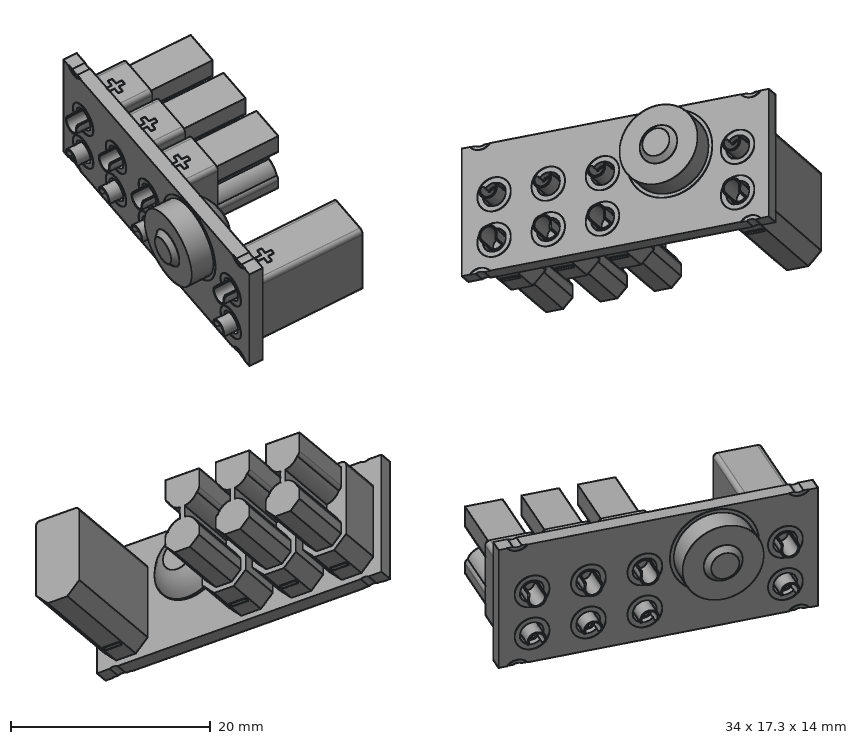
import cadquery as cq
import math


board_length = 34
board_height = 14.0
board_thickness = 1.6
mask_thickness = 0.07
pin_hole_diameter = 2.55
pin_pad_diameter = 3.7
nut_pad_diameter = 9.5
notch_x = 15.0
notch_radius = 1.0
notch_depth = 0.12
notch_pad_radius = 1.4
board_front = -board_thickness
pad_face = board_front + mask_thickness

first_connector_x = -13.43
row_span = 12.0
row_count = 3
row_pitch = row_span / (row_count - 1)
socket_connector_x = 13.53
connector_z = -1.2
base_width = 5.2
base_height = 10.2
base_length = 5.0
base_chamfer = 1.43
base_fillet = 0.5
socket_length = 12.5

nose_inset = 0.595
nose_tip = 12.6
nose_width = base_width - 2 * nose_inset
nose_height = base_height - 2 * nose_inset
nose_chamfer = base_chamfer - nose_inset * (2 - math.sqrt(2))
nose_gap = 3.4
gap_fillet = 0.58
barrel_radius = 1.87
web_thickness = 0.58

mark_length = 1.9
mark_width = 0.5
mark_relief = 0.1
plug_mark_y = 2.28
socket_mark_y = 2.48

pin_spacing = 5.0
pin_diameter = 2.0
cup_bore_diameter = 1.65
pin_tip = -3.0
cup_floor = 0
cup_cut_start = -1.2
cup_cut_height = 0.5
cup_lip_radius = 0.4

screw_x = 6.0
screw_z = 2.0
shank_diameter = 4.15
screw_tip = -4.73
tip_chamfer = 0.58
head_diameter = 7.92
head_rim = 0.29
head_height = 2.2
head_flat_diameter = 3.35
nut_diameter = 8.65
nut_face = -4.1


def cylinder(diameter, x, z, y_start, y_end):
    """Cylinder along Y."""
    axis_start = cq.Vector(x, y_start, z)
    direction = cq.Vector(0, y_end - y_start, 0)
    return cq.Workplane(cq.Solid.makeCylinder(diameter / 2, abs(y_end - y_start), axis_start, direction))


def block(x_size, z_size, x, z, y_start, y_end):
    """Rectangular block centred on (x, z), from y_start to y_end."""
    middle = (x, (y_start + y_end) / 2, z)
    return cq.Workplane().box(x_size, y_end - y_start, z_size).translate(middle)


def pin_heights():
    """Z and opening side (+1 up, -1 down) of a connector's two pins."""
    return [(connector_z + side * pin_spacing / 2, side) for side in (1, -1)]


def make_board(connector_places):
    board = block(board_length, board_height, 0, 0, board_front, 0)

    for x in connector_places:
        for z, _ in pin_heights():
            board = board.cut(cylinder(pin_pad_diameter, x, z, pad_face, board_front))
            board = board.cut(cylinder(pin_hole_diameter, x, z, 0, board_front))

    board = board.cut(cylinder(nut_pad_diameter, screw_x, screw_z, pad_face, board_front))
    board = board.cut(cylinder(shank_diameter, screw_x, screw_z, 0, board_front))

    notch_z = board_height / 2 - notch_depth + notch_radius
    for x in (-notch_x, notch_x):
        for z in (-notch_z, notch_z):
            board = board.cut(cylinder(2 * notch_pad_radius, x, z, pad_face, board_front))
            board = board.cut(cylinder(2 * notch_radius, x, z, 0, board_front))
    return board


def make_prism(width, height, chamfer, length, x):
    """Connector block standing on the board, with its two lower edges chamfered."""
    prism = block(width, height, x, connector_z, 0, length)
    return prism.faces("<Z").edges("|Y").chamfer(chamfer)


def make_base(length, x):
    base = make_prism(base_width, base_height, base_chamfer, length, x)
    return base.faces(">Z").edges("|Y").fillet(base_fillet)


def make_nose(x):
    """Two blocks with a rounded barrel each, joined by a thin web."""
    nose = make_prism(nose_width, nose_height, nose_chamfer, nose_tip, x)
    gap = block(nose_width, nose_gap, x, connector_z, 0, nose_tip)
    nose = nose.cut(gap)
    gap_edges = cq.selectors.BoxSelector(
        (x - nose_width, 0, connector_z - nose_gap / 2 - gap_fillet / 2),
        (x + nose_width, nose_tip, connector_z + nose_gap / 2 + gap_fillet / 2),
    )
    nose = nose.edges("|Y").edges(gap_edges).fillet(gap_fillet)
    for z, _ in pin_heights():
        nose = nose.union(cylinder(2 * barrel_radius, x, z, 0, nose_tip))
    return nose.union(block(web_thickness, pin_spacing, x, connector_z, 0, nose_tip))


def make_marks(x, y):
    """Raised plus on the top of a connector and minus underneath."""
    top = connector_z + base_height / 2
    bottom = connector_z - base_height / 2
    along_x = cq.Workplane().box(mark_length, mark_width, 2 * mark_relief)
    along_y = cq.Workplane().box(mark_width, mark_length, 2 * mark_relief)
    plus = along_x.union(along_y).translate((x, y, top))
    minus = along_x.translate((x, y, bottom))
    return plus, minus


def make_pin(x, z, side):
    """Solder cup: bored at the tip, with one side of its wall cut away."""
    pin = cylinder(pin_diameter, x, z, 0, pin_tip)
    pin = pin.cut(cylinder(cup_bore_diameter, x, z, cup_floor, pin_tip))
    lip = cup_lip_radius
    opening = (
        cq.Workplane("YZ")
        .moveTo(cup_cut_start, cup_cut_height)
        .lineTo(pin_tip + lip, cup_cut_height)
        .radiusArc((pin_tip, cup_cut_height - lip), -lip)
        .lineTo(pin_tip, pin_diameter)
        .lineTo(cup_cut_start, pin_diameter)
        .close()
        .extrude(pin_diameter / 2, both=True)
    )
    if side < 0:
        opening = opening.mirror("XY")
    return pin.cut(opening.translate((x, 0, z)))


def add_details(connector, x, mark_y):
    """Marks and pins that every connector carries."""
    for mark in make_marks(x, mark_y):
        connector = connector.union(mark)
    for z, side in pin_heights():
        connector = connector.union(make_pin(x, z, side))
    return connector


def make_plug(x):
    return add_details(make_base(base_length, x).union(make_nose(x)), x, plug_mark_y)


def make_socket(x):
    return add_details(make_base(socket_length, x), x, socket_mark_y)


def make_nut():
    nut = cylinder(nut_diameter, screw_x, screw_z, pad_face, nut_face)
    return nut.cut(cylinder(shank_diameter, screw_x, screw_z, pad_face, nut_face))


def make_screw():
    """Button-head screw: flat-topped dome behind the board, chamfered tip in front."""
    shank_radius = shank_diameter / 2
    rim_radius = head_diameter / 2
    flat_radius = head_flat_diameter / 2
    square_difference = flat_radius**2 + head_height**2 - rim_radius**2 - head_rim**2
    dome_centre = square_difference / (2 * (head_height - head_rim))
    dome_radius = math.hypot(rim_radius, head_rim - dome_centre)
    arc_y = (head_rim + head_height) / 2
    arc_radius = math.sqrt(dome_radius**2 - (arc_y - dome_centre) ** 2)
    screw = (
        cq.Workplane("XY")
        .moveTo(0, screw_tip)
        .lineTo(shank_radius - tip_chamfer, screw_tip)
        .lineTo(shank_radius, screw_tip + tip_chamfer)
        .lineTo(shank_radius, 0)
        .lineTo(rim_radius, 0)
        .lineTo(rim_radius, head_rim)
        .threePointArc((arc_radius, arc_y), (flat_radius, head_height))
        .lineTo(0, head_height)
        .close()
        .revolve(360, (0, 0, 0), (0, 1, 0))
    )
    return screw.translate((screw_x, 0, screw_z))


plug_places = [first_connector_x + i * row_pitch for i in range(row_count)]

board = make_board(plug_places + [socket_connector_x])
plugs = [make_plug(x) for x in plug_places]
socket = make_socket(socket_connector_x)
nut = make_nut()
screw = make_screw()

result = cq.Compound.makeCompound(
    [board.val(), *[plug.val() for plug in plugs], socket.val(), nut.val(), screw.val()]
)